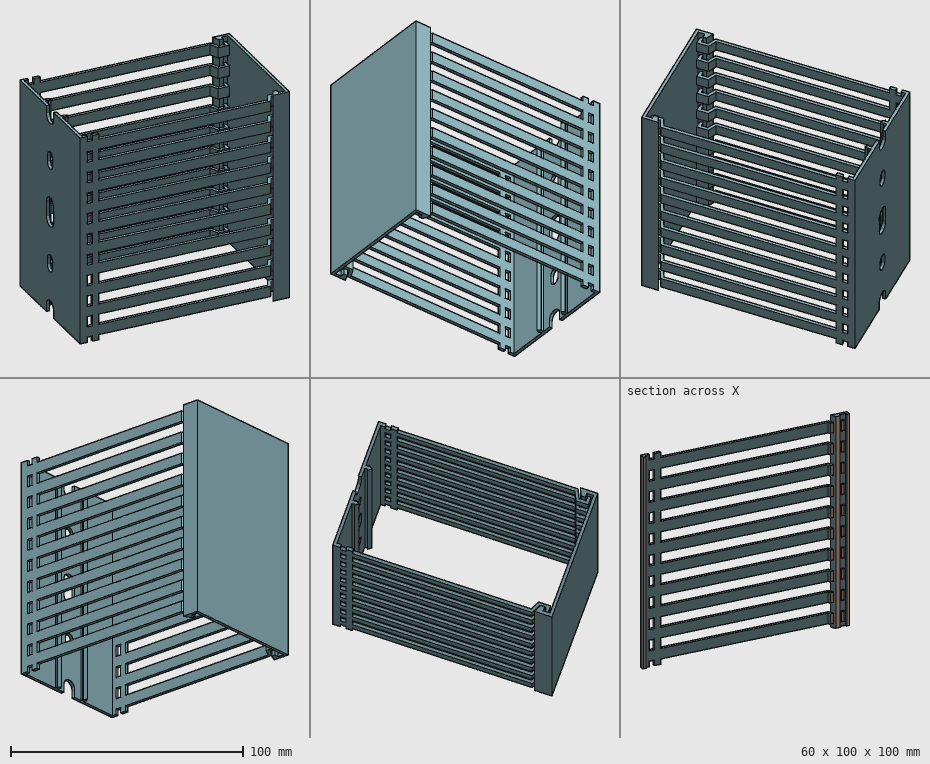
import cadquery as cq
import math

WIDTH = 60.0
DEPTH = 100.0
LENGTH = 100.0
WALL = 1.5

LID_SIDE = 8.0
FOOT_TOP = 4.5
FOOT_REACH = 3.5

HOOK_TOP = 2.5
HOOK_REACH = 5.5
HOOK_TIP = 1.8
SHOULDER_START = 9.0
SHOULDER_ANGLE = 26.0

PITCH = 10.0
OPENING = 5.0
WINDOW_BOTTOM = 3.5
RAIL_BOTTOM = 6.0
RAIL_TOP = 9.0

RIB_X = 8.5
RIB_STEM = 1.5
RIB_HEAD = 2.4
RIB_BARB = 2.8
RIB_TIP = 4.5

LARGE_SLOT_WIDTH = 7.0
LARGE_SLOT_LENGTH = 14.0
SMALL_SLOT_WIDTH = 5.0
SMALL_SLOT_LENGTH = 8.0
SMALL_SLOT_Z = 25.0

SIDE_X = WIDTH / 2
LID_Y = DEPTH / 2
FLOOR_Y = -DEPTH / 2
END_Z = LENGTH / 2
SHOULDER_SLOPE = math.tan(math.radians(SHOULDER_ANGLE))
SHOULDER_DROP = WALL / math.cos(math.radians(SHOULDER_ANGLE))


def extrude_along_duct(points):
    """Extrude a closed XY outline over the full duct length."""
    return cq.Workplane("XY", origin=(0, 0, -END_Z)).polyline(points).close().extrude(LENGTH)


def mirrored_outline(left_half):
    """Complete an outline from its left half by mirroring it across X = 0."""
    return left_half + [(-x, y) for x, y in reversed(left_half)]


def from_corner(inset, drop):
    """Point measured inwards from the left side and down from the lid face."""
    return (-SIDE_X + inset, LID_Y - drop)


def make_lid():
    left_half = [
        from_corner(WALL, WALL),
        from_corner(WALL, FOOT_TOP),
        from_corner(FOOT_REACH, FOOT_TOP),
        from_corner(FOOT_REACH, LID_SIDE - FOOT_REACH * SHOULDER_SLOPE),
        from_corner(0, LID_SIDE),
        from_corner(0, 0),
    ]
    return extrude_along_duct(mirrored_outline(left_half))


def duct_profile():
    hook_inner = HOOK_REACH - WALL
    shoulder_inner = SHOULDER_START + SHOULDER_DROP
    left_half = [
        (-SIDE_X, FLOOR_Y),
        from_corner(0, SHOULDER_START),
        from_corner(hook_inner, SHOULDER_START - hook_inner * SHOULDER_SLOPE),
        from_corner(hook_inner, HOOK_TOP + WALL),
        from_corner(HOOK_TIP, HOOK_TOP + WALL),
        from_corner(HOOK_TIP, HOOK_TOP),
        from_corner(HOOK_REACH, HOOK_TOP),
        from_corner(HOOK_REACH, shoulder_inner - HOOK_REACH * SHOULDER_SLOPE),
        from_corner(WALL, shoulder_inner - WALL * SHOULDER_SLOPE),
        (-SIDE_X + WALL, FLOOR_Y + WALL),
    ]
    return extrude_along_duct(mirrored_outline(left_half))


def floor_rib(x):
    half_stem = RIB_STEM / 2
    half_head = RIB_HEAD / 2
    foot = FLOOR_Y + WALL
    barb = FLOOR_Y + RIB_BARB
    return extrude_along_duct([
        (x - half_stem, foot),
        (x - half_stem, barb),
        (x - half_head, barb),
        (x, FLOOR_Y + RIB_TIP),
        (x + half_head, barb),
        (x + half_stem, barb),
        (x + half_stem, foot),
    ])


def side_opening(z, bottom, top):
    """Cutter through both sides, between two heights above the floor's outer face."""
    return (
        cq.Workplane("XY")
        .box(WIDTH, top - bottom, OPENING, centered=(True, False, True))
        .translate((0, FLOOR_Y + bottom, z))
    )


def floor_slot(z, length, width):
    """Round-ended cutter through the floor, long in Z."""
    return (
        cq.Workplane("XZ", origin=(0, FLOOR_Y + WALL, z))
        .slot2D(length, width, 90)
        .extrude(WALL)
    )


def make_duct():
    duct = duct_profile()

    for i in range(round(LENGTH / PITCH) + 1):
        z = -END_Z + i * PITCH
        duct = duct.cut(side_opening(z, WINDOW_BOTTOM, RAIL_BOTTOM))
        duct = duct.cut(side_opening(z, RAIL_TOP, DEPTH))

    for x in (-RIB_X, RIB_X):
        duct = duct.union(floor_rib(x))

    for z in (-END_Z, 0, END_Z):
        duct = duct.cut(floor_slot(z, LARGE_SLOT_LENGTH, LARGE_SLOT_WIDTH))
    for z in (-SMALL_SLOT_Z, SMALL_SLOT_Z):
        duct = duct.cut(floor_slot(z, SMALL_SLOT_LENGTH, SMALL_SLOT_WIDTH))
    return duct


lid = make_lid()
duct = make_duct()
result = cq.Compound.makeCompound([lid.val(), duct.val()])